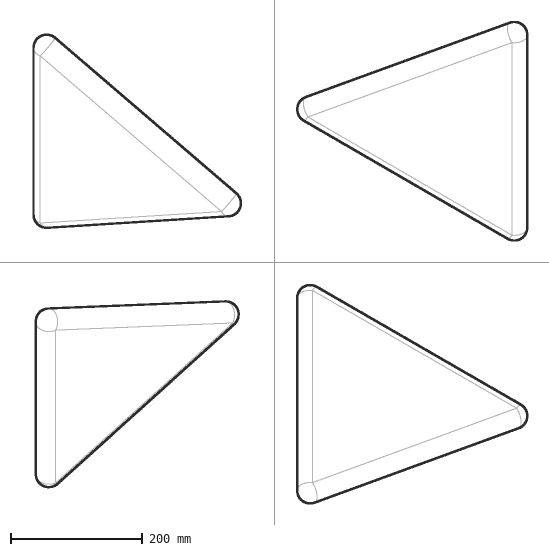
import cadquery as cq
import math

overall_height = 405.5
thickness = 40.0
rim_radius = thickness / 2
side = overall_height - thickness
triangle_depth = side * math.sqrt(3) / 2

corners = [
    cq.Vector(0, 0, -side / 2),
    cq.Vector(triangle_depth, 0, 0),
    cq.Vector(0, 0, side / 2),
]


def flat_core():
    """Triangular prism between the two flat faces."""
    outline = [(corner.x, corner.z) for corner in corners]
    return cq.Workplane("XZ").polyline(outline).close().extrude(rim_radius, both=True)


def rim_bar(start, end):
    """Round bar along one edge of the triangle."""
    direction = end - start
    return cq.Solid.makeCylinder(rim_radius, direction.Length, start, direction)


def corner_ball(centre):
    """Ball that joins two neighbouring rim bars."""
    return cq.Workplane("XY").sphere(rim_radius).translate(centre)


result = flat_core()
for index, corner in enumerate(corners):
    next_corner = corners[(index + 1) % len(corners)]
    result = result.union(rim_bar(corner, next_corner))
for corner in corners:
    result = result.union(corner_ball(corner))